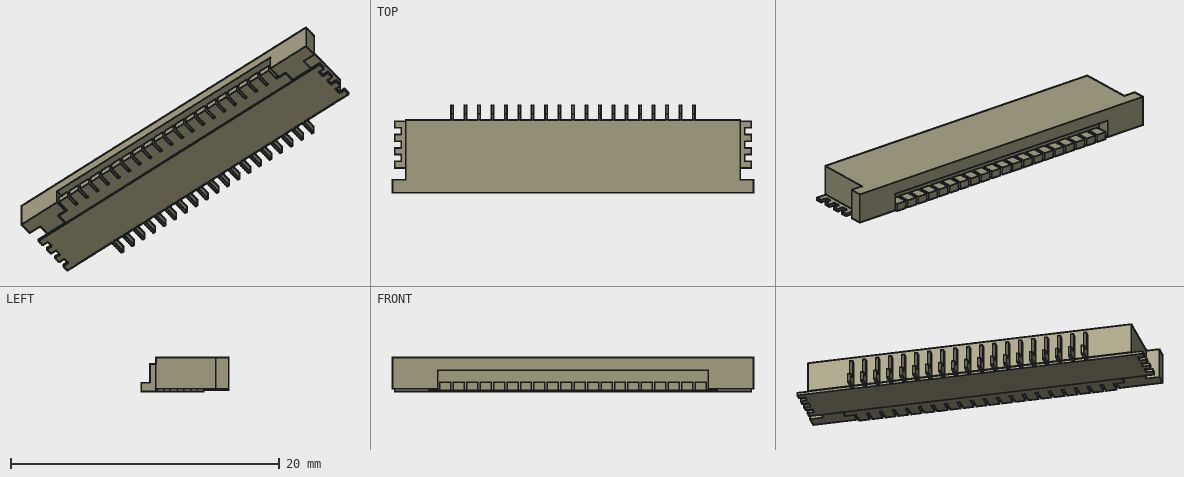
import cadquery as cq

total_width = 26.92
total_height = 2.55
total_depth = 6.55

housing_width = 24.93
housing_depth = 5.45
housing_bottom = 0.22
front_bar_depth = 1.0

slot_width = 20.2
slot_top = 1.6
slot_depth = front_bar_depth
floor_width = 21.5
floor_bottom = 0.1
block_top = 0.7

pin_count = 19
pin_span = 18.0
pin_pitch = pin_span / (pin_count - 1)
pin_width = 0.2
pin_top = 2.07
pin_back = 5.9
foot_height = 0.67

block_count = pin_count + 1
block_width = pin_pitch - pin_width

tab_span = 26.6
tab_root_span = 25.63
tab_back = 5.35
tooth_count = 4
tooth_length = 0.5
tooth_pitch = 1.0
tab_length = tooth_pitch * (tooth_count - 1) + tooth_length
tab_front = tab_back - tab_length


def block(x_range, y_range, z_range):
    """Box between the given limits along X, Y and Z."""
    size = [high - low for low, high in (x_range, y_range, z_range)]
    corner = (x_range[0], y_range[0], z_range[0])
    return cq.Workplane("XY").box(*size, centered=False).translate(corner)


def centered_range(width, center=0.0):
    """Limits of a width spread evenly about a center."""
    return (center - width / 2, center + width / 2)


def row_positions(count, pitch):
    """Positions of a row of equal steps, centered on zero."""
    return [(i - (count - 1) / 2) * pitch for i in range(count)]


def make_housing():
    main = block(centered_range(housing_width), (0, housing_depth), (housing_bottom, total_height))
    front_bar = block(centered_range(total_width), (0, front_bar_depth), (housing_bottom, total_height))
    slot = block(centered_range(slot_width), (0, slot_depth), (housing_bottom, slot_top))
    floor = block(centered_range(floor_width), (slot_depth, tab_front), (floor_bottom, housing_bottom))
    return main.union(front_bar).cut(slot).union(floor)


def make_slot_block(x):
    return block(centered_range(block_width, x), (0, slot_depth), (floor_bottom, block_top))


def make_pin(x):
    """Stepped pin: an upright against the back of the housing and a foot behind it."""
    across = centered_range(pin_width, x)
    upright = block(across, (housing_depth, pin_back), (0, pin_top))
    foot = block(across, (housing_depth, total_depth), (0, foot_height))
    return upright.union(foot)


def make_base_plate():
    """Flat plate with a row of teeth standing out past each end of the housing."""
    thickness = (0, housing_bottom)
    plate = block(centered_range(tab_root_span), (tab_front, tab_back), thickness)
    for i in range(tooth_count):
        tooth_front = tab_front + i * tooth_pitch
        tooth_along = (tooth_front, tooth_front + tooth_length)
        plate = plate.union(block(centered_range(tab_span), tooth_along, thickness))
    return plate


result = make_housing().union(make_base_plate())

for x in row_positions(block_count, pin_pitch):
    result = result.union(make_slot_block(x))

for x in row_positions(pin_count, pin_pitch):
    result = result.union(make_pin(x))